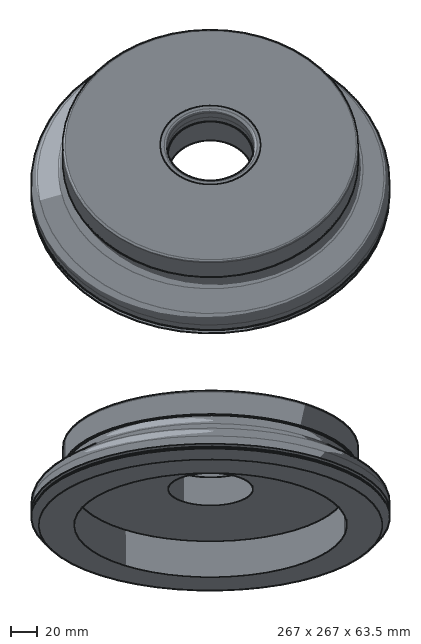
import cadquery as cq
import math

rim_radius = 133.5
height = 63.5

hub_radius = 110.0
hub_edge_fillet = 1.5
hub_bottom_z = 44.0
neck_undercut = 1.0
undercut_height = 0.8

neck_radius = hub_radius - neck_undercut
neck_top_z = hub_bottom_z - undercut_height
rim_top_z = 16.8
blend_radius = 9.5
shoulder_angle = math.radians(32)

groove_bottom_z = 6.5
groove_top_z = 10.5
groove_depth = 1.5
bottom_bevel = 5.5

bore_radius = 31.5
web_thickness = 34.7
recess_radius = 101.5

bush_outer_radius = 37.4
bush_mouth_radius = 34.55
bush_mouth_fillet = 2.1
bush_inner_radius = 32.0
bush_taper_end_depth = 7.0
bush_length = 12.0


def make_wheel():
    """Revolved wheel with a stepped bore and a hollow underside."""
    turn = math.pi / 2 - shoulder_angle
    blend_out = blend_radius * (1 - math.cos(turn))
    blend_drop = blend_radius * math.sin(turn)
    half_out = blend_radius * (1 - math.cos(turn / 2))
    half_drop = blend_radius * math.sin(turn / 2)
    edge_inset = hub_edge_fillet * (1 - math.sqrt(0.5))
    recess_top_z = height - web_thickness
    seat_z = height - bush_length

    profile = (
        cq.Workplane("XZ")
        .moveTo(bush_outer_radius, height)
        .lineTo(hub_radius - hub_edge_fillet, height)
        .threePointArc(
            (hub_radius - edge_inset, height - edge_inset),
            (hub_radius, height - hub_edge_fillet),
        )
        .lineTo(hub_radius, hub_bottom_z)
        .lineTo(neck_radius, neck_top_z)
        .threePointArc(
            (neck_radius + half_out, neck_top_z - half_drop),
            (neck_radius + blend_out, neck_top_z - blend_drop),
        )
        .lineTo(rim_radius - blend_out, rim_top_z + blend_drop)
        .threePointArc(
            (rim_radius - half_out, rim_top_z + half_drop),
            (rim_radius, rim_top_z),
        )
        .lineTo(rim_radius, groove_top_z)
        .lineTo(rim_radius - groove_depth, groove_top_z - groove_depth)
        .lineTo(rim_radius - groove_depth, groove_bottom_z + groove_depth)
        .lineTo(rim_radius, groove_bottom_z)
        .lineTo(rim_radius - bottom_bevel, 0)
        .lineTo(recess_radius, 0)
        .lineTo(recess_radius, recess_top_z)
        .lineTo(bore_radius, recess_top_z)
        .lineTo(bore_radius, seat_z)
        .lineTo(bush_outer_radius, seat_z)
        .close()
    )
    return profile.revolve(360, (0, 0, 0), (0, 1, 0))


def make_bush():
    """Flush bush with a rounded mouth, a slight taper and a straight lower bore."""
    taper_top_radius = bush_mouth_radius - bush_mouth_fillet
    bottom_z = height - bush_length
    arc_offset = bush_mouth_fillet * math.sqrt(0.5)

    profile = (
        cq.Workplane("XZ")
        .moveTo(bush_outer_radius, bottom_z)
        .lineTo(bush_outer_radius, height)
        .lineTo(bush_mouth_radius, height)
        .threePointArc(
            (bush_mouth_radius - arc_offset, height - bush_mouth_fillet + arc_offset),
            (taper_top_radius, height - bush_mouth_fillet),
        )
        .lineTo(bush_inner_radius, height - bush_taper_end_depth)
        .lineTo(bush_inner_radius, bottom_z)
        .close()
    )
    return profile.revolve(360, (0, 0, 0), (0, 1, 0))


wheel = make_wheel()
bush = make_bush()
result = cq.Compound.makeCompound([wheel.val(), bush.val()])